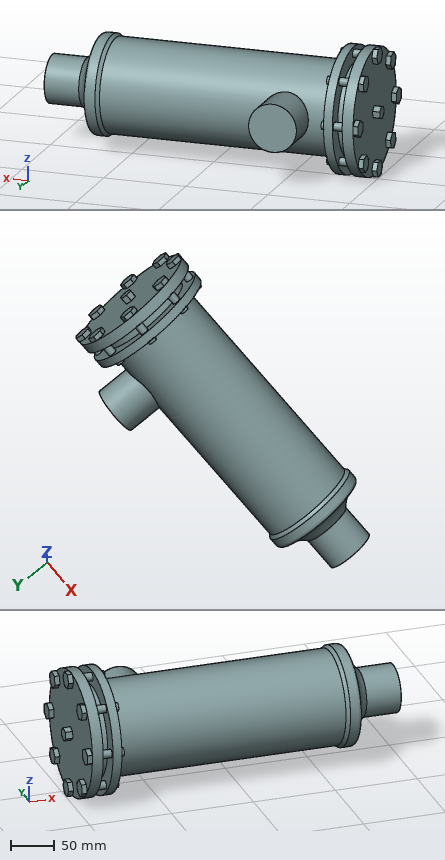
import cadquery as cq
import math

total_length = 402.5
bolt_head_start = 3.0
cover_start = 9.0
cover_end = 22.0
flange_start = 34.2
flange_end = 45.0
bolt_end = 49.0

cover_diameter = 153.0
flange_diameter = 152.0
shell_diameter = 114.0

bolt_count = 8
bolt_circle_diameter = 136.5
bolt_circle_radius = bolt_circle_diameter / 2
bolt_diameter = 10.0
bolt_head_flats = 17.7
bolt_head_corners = bolt_head_flats / math.cos(math.pi / 6)
flat_to_corner_angle = 30

center_head_corners = 16.0
center_head_turn = 20

cap_start = 325.2
collar_start = 329.5
collar_end = 339.7
neck_start = 343.5
neck_middle = 349.8
neck_end = 360.2
collar_diameter = 120.5
rim_diameter = 118.0
neck_middle_diameter = 82.0

pipe_diameter = 58.5
inlet_center = 99.5
inlet_reach = 99.0


def disc(diameter, start, end, y=0.0, z=0.0):
    """Cylinder along X between two stations."""
    return cq.Workplane("YZ", origin=(start, y, z)).circle(diameter / 2).extrude(end - start)


def hex_head(corners, start, turn, y=0.0, z=0.0):
    """Hexagon head that rests on the cover, turned about its own X axis."""
    plane = cq.Workplane("YZ", origin=(start, y, z))
    return plane.transformed(rotate=(0, 0, turn)).polygon(6, corners).extrude(cover_start - start)


def vessel():
    """Shell, end cap and outlet pipe as one turned body."""
    shell_radius = shell_diameter / 2
    collar_radius = collar_diameter / 2
    pipe_radius = pipe_diameter / 2
    profile = (
        cq.Workplane("XY")
        .moveTo(cover_end, 0)
        .lineTo(cover_end, shell_radius)
        .lineTo(cap_start, shell_radius)
        .lineTo(collar_start, collar_radius)
        .lineTo(collar_end, collar_radius)
        .tangentArcPoint((neck_start, rim_diameter / 2), relative=False)
        .threePointArc((neck_middle, neck_middle_diameter / 2), (neck_end, pipe_radius))
        .lineTo(total_length, pipe_radius)
        .lineTo(total_length, 0)
        .close()
    )
    return profile.revolve(360, (0, 0, 0), (1, 0, 0))


def inlet():
    """Branch pipe from the vessel axis out to +Y."""
    plane = cq.Workplane("XZ", origin=(inlet_center, 0, 0))
    return plane.circle(pipe_diameter / 2).extrude(-inlet_reach)


def flange_bolt(angle):
    """Hexagon head and shank of the bolt at the given angle around the axis."""
    y = bolt_circle_radius * math.cos(math.radians(angle))
    z = bolt_circle_radius * math.sin(math.radians(angle))
    head = hex_head(bolt_head_corners, bolt_head_start, angle + flat_to_corner_angle, y, z)
    return head.union(disc(bolt_diameter, cover_start, bolt_end, y, z))


result = vessel().union(inlet())
result = result.union(disc(cover_diameter, cover_start, cover_end))
result = result.union(disc(flange_diameter, flange_start, flange_end))
for index in range(bolt_count):
    result = result.union(flange_bolt(index * 360 / bolt_count))
result = result.union(hex_head(center_head_corners, 0, center_head_turn))